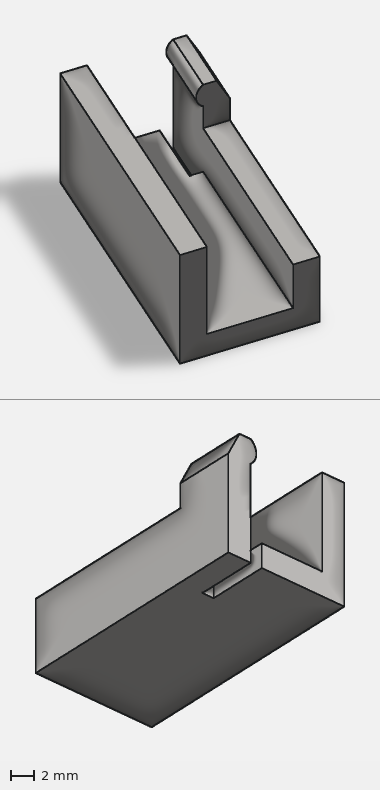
import cadquery as cq

length = 25.4
width = 13.2
height = 12.7
wall = 2.55
rear_wall_height = 7.62

clip_length = 6.35
slot_width = 1.27
bead_height = 2.55
bead_bulge = 0.65
chamfer_depth = wall / 2

rear_face = width / 2
rear_inner = rear_face - wall
start_x = -length / 2


def block(x_size, y_size, z_size, y_start):
    """Box resting on Z = 0 whose -X end is flush with the part's -X end."""
    return cq.Workplane("XY").box(x_size, y_size, z_size, centered=False).translate((start_x, y_start, 0))


def snap_clip():
    """Tall clip with a sloped outer corner and a rounded inner bead."""
    bead_bottom = height - bead_height
    return (
        cq.Workplane("YZ", origin=(start_x, 0, 0))
        .moveTo(rear_inner, 0)
        .lineTo(rear_face, 0)
        .lineTo(rear_face, bead_bottom)
        .lineTo(rear_face - chamfer_depth, height)
        .lineTo(rear_inner, height)
        .threePointArc(
            (rear_inner - bead_bulge, height - bead_height / 2),
            (rear_inner, bead_bottom),
        )
        .close()
        .extrude(clip_length)
    )


floor = block(length, width, wall, -width / 2)
front_wall = block(length, wall, height, -width / 2)
rear_wall = block(length, wall, rear_wall_height, rear_inner)

slot = block(clip_length, slot_width, wall, rear_inner - slot_width)

result = floor.union(front_wall).union(rear_wall).union(snap_clip()).cut(slot).clean()